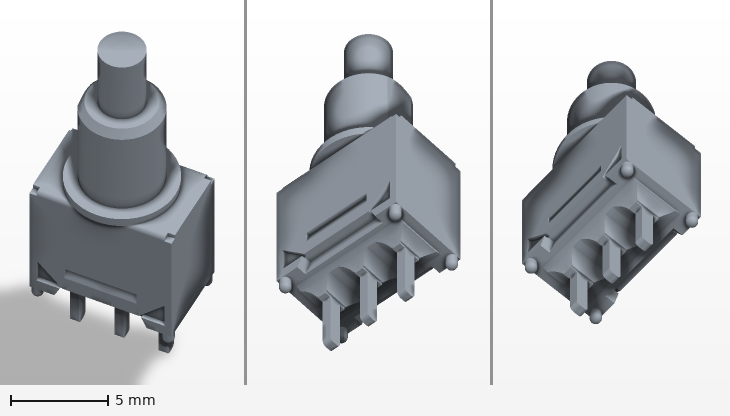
import cadquery as cq

overall_height = 21.47

case_length = 8.14
case_width = 5.09
case_height = 7.3
cover_thickness = 0.25
post_size = 0.4

frame_bar_height = 0.65
cover_bottom = 0.7
cover_bottom_half = 2.2
cover_diagonal_height = 2.15
notch_top_half = 2.3
notch_bottom_half = 2.65
notch_depth = 0.62

latch_length = 4.12
latch_bottom = 1.57
latch_top = 2.25

washer_diameter = 6.1
washer_thickness = 0.52
bushing_diameter = 4.6
bushing_top = 13.46
bushing_top_diameter = 3.86
bushing_chamfer_height = 0.45
bushing_flat_distance = 2.1
plunger_diameter = 2.53

peg_diameter = 0.65
peg_straight_length = 0.45

pin_length = 4.1
pin_pitch = 2.53
pin_thickness = 0.52
pin_width = 0.75
pin_tip_radius = 0.25
shoulder_width = 1.5
shoulder_length = 0.7
resin_depth = 0.58
resin_web_depth = 0.13
resin_half_width = 1.6
resin_half_length = 0.99
resin_root_thickness = 0.69
resin_sag = 0.09

half_length = case_length / 2
half_width = case_width / 2
window_half = half_length - post_size
cover_underside = case_height - cover_thickness
washer_top = case_height + washer_thickness
plunger_top = overall_height - pin_length
pin_positions = [-pin_pitch, 0, pin_pitch]


def both_sides(cutter):
    """Return a front-face cutter together with its mirror image on the back face."""
    return cutter.union(cutter.mirror("XZ"))


def front_pocket(outline, depth):
    """Extrude a closed XZ outline into the case from its front face."""
    return cq.Workplane("XZ", origin=(0, -half_width, 0)).polyline(outline).close().extrude(-depth)


def make_case():
    case = cq.Workplane("XY").box(case_length, case_width, case_height, centered=(True, True, False))
    case = case.edges("|X and >Z").fillet(cover_thickness)
    corner_notches = (
        cq.Workplane("XY", origin=(0, 0, cover_underside))
        .rect(case_length - post_size, case_width - post_size, forConstruction=True)
        .vertices()
        .rect(post_size, post_size)
        .extrude(cover_thickness)
    )
    return case.cut(corner_notches)


def make_open_corners():
    """Triangular openings one cover thickness deep, between the sloped cover edge and the frame."""
    diagonal_slope = (cover_diagonal_height - cover_bottom) / (window_half - cover_bottom_half)
    inner_x = cover_bottom_half + (frame_bar_height - cover_bottom) / diagonal_slope
    right = front_pocket(
        [
            (inner_x, frame_bar_height),
            (window_half, frame_bar_height),
            (window_half, cover_diagonal_height),
        ],
        cover_thickness,
    )
    return both_sides(right.union(right.mirror("YZ")))


def make_bottom_notch():
    outline = [
        (-notch_bottom_half, 0),
        (notch_bottom_half, 0),
        (notch_top_half, cover_bottom),
        (-notch_top_half, cover_bottom),
    ]
    return both_sides(front_pocket(outline, notch_depth))


def make_latch_recess():
    """Wedge that is deepest at the top and runs out flush at the bottom."""
    outline = [
        (-half_width, latch_bottom),
        (-half_width, latch_top),
        (-half_width + cover_thickness, latch_top),
    ]
    wedge = cq.Workplane("YZ").polyline(outline).close().extrude(latch_length / 2, both=True)
    return both_sides(wedge)


def make_bushing():
    washer = cq.Workplane("XY", origin=(0, 0, case_height)).circle(washer_diameter / 2)
    washer = washer.extrude(washer_thickness)
    bushing_radius = bushing_diameter / 2
    bushing = (
        cq.Workplane("XZ")
        .moveTo(0, case_height)
        .lineTo(bushing_radius, case_height)
        .lineTo(bushing_radius, bushing_top - bushing_chamfer_height)
        .lineTo(bushing_top_diameter / 2, bushing_top)
        .lineTo(0, bushing_top)
        .close()
        .revolve(360, (0, 0, 0), (0, 1, 0))
    )
    flat_cutter = (
        cq.Workplane("XY", origin=(-bushing_flat_distance - bushing_radius, 0, washer_top))
        .rect(2 * bushing_radius, bushing_diameter)
        .extrude(bushing_top - washer_top)
    )
    return washer.union(bushing.cut(flat_cutter))


def make_plunger():
    return (
        cq.Workplane("XY", origin=(0, 0, case_height))
        .circle(plunger_diameter / 2)
        .extrude(plunger_top - case_height)
    )


def make_pegs():
    """Four round-ended pegs, each set flush with the two case walls beside it."""
    peg_radius = peg_diameter / 2
    peg = (
        cq.Workplane("XY")
        .circle(peg_radius)
        .extrude(-peg_straight_length)
        .union(cq.Workplane("XY", origin=(0, 0, -peg_straight_length)).sphere(peg_radius))
    )
    pegs = cq.Workplane("XY")
    for x in (-half_length + peg_radius, half_length - peg_radius):
        for y in (-half_width + peg_radius, half_width - peg_radius):
            pegs = pegs.union(peg.translate((x, y, 0)))
    return pegs


def make_pin():
    shoulder = cq.Workplane("XY").rect(pin_thickness, shoulder_width).extrude(-shoulder_length)
    blade = cq.Workplane("XY").rect(pin_thickness, pin_width).extrude(-pin_length)
    blade = blade.edges("|X and <Z").fillet(pin_tip_radius)
    return shoulder.union(blade)


def make_resin():
    """Resin that climbs each terminal in concave curves, in both the XZ and the YZ direction."""
    root_half = resin_root_thickness / 2
    across = cq.Workplane("XZ").moveTo(-pin_pitch - resin_half_length, 0)
    for x in pin_positions:
        across = (
            across.lineTo(x - resin_half_length, -resin_web_depth)
            .sagittaArc((x - root_half, -resin_depth), resin_sag)
            .lineTo(x + root_half, -resin_depth)
            .sagittaArc((x + resin_half_length, -resin_web_depth), resin_sag)
        )
    across = across.lineTo(pin_pitch + resin_half_length, 0).close().extrude(half_width, both=True)
    along = (
        cq.Workplane("YZ")
        .moveTo(-resin_half_width, 0)
        .sagittaArc((-shoulder_width / 2, -resin_depth), resin_sag)
        .lineTo(shoulder_width / 2, -resin_depth)
        .sagittaArc((resin_half_width, 0), resin_sag)
        .close()
        .extrude(half_length, both=True)
    )
    return across.intersect(along)


result = make_case().cut(make_open_corners()).cut(make_bottom_notch()).cut(make_latch_recess())
result = result.union(make_bushing()).union(make_plunger()).union(make_pegs()).union(make_resin())
for pin_x in pin_positions:
    result = result.union(make_pin().translate((pin_x, 0, 0)))